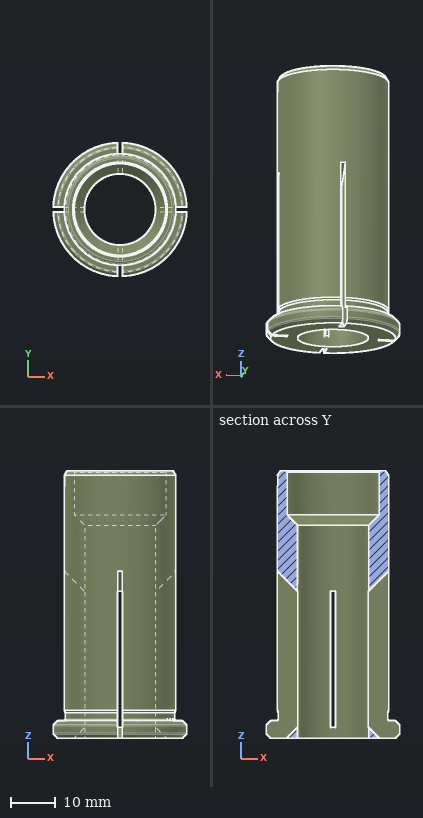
import cadquery as cq
import math

LENGTH = 60.0
TUBE_RADIUS = 25.0 / 2
BORE_RADIUS = 15.9 / 2

FLANGE_RADIUS = 15.0
FLANGE_HEIGHT = 4.0
FLANGE_CHAMFER = 1.0
EDGE_ROUND = 0.5

NECK_RADIUS = 12.3
NECK_TOP = 5.75
NECK_TAPER = 0.55
NECK_FILLET = 0.35

RIM_HEIGHT = 1.1
RIM_ANGLE = 30.0
SOCKET_RADIUS = 20.5 / 2
SOCKET_DEPTH = 9.9
SOCKET_CHAMFER = 0.35

SLOT_COUNT = 4
SLOT_WIDTH = 1.0
SLOT_TOP = 37.5
SLOT_FLOOR_AT_BORE = 2.5
CUT_MARGIN = 0.6


def revolve_profile(profile):
    """Turn a closed (radius, z) outline around the Z axis."""
    return profile.close().revolve(360, (0, 0, 0), (0, 1, 0))


def make_flange():
    disc = cq.Workplane("XY").circle(FLANGE_RADIUS).extrude(FLANGE_HEIGHT)
    disc = disc.faces("<Z or >Z").chamfer(FLANGE_CHAMFER)
    return disc.faces("not <Z").edges("%CIRCLE").edges("not <Z").fillet(EDGE_ROUND)


def make_tube():
    rim_radius = TUBE_RADIUS - RIM_HEIGHT * math.tan(math.radians(RIM_ANGLE))
    profile = (
        cq.Workplane("XZ")
        .lineTo(NECK_RADIUS, 0)
        .lineTo(NECK_RADIUS, NECK_TOP)
        .lineTo(TUBE_RADIUS, NECK_TOP + NECK_TAPER)
        .lineTo(TUBE_RADIUS, LENGTH - RIM_HEIGHT)
        .lineTo(rim_radius, LENGTH)
        .lineTo(0, LENGTH)
    )
    return revolve_profile(profile).faces(">Z").edges().fillet(EDGE_ROUND)


def make_neck_fillet():
    """Ring with a concave quarter-round between the neck and the flange."""
    outer_radius = NECK_RADIUS + NECK_FILLET
    top = FLANGE_HEIGHT + NECK_FILLET
    arc_offset = NECK_FILLET * math.sqrt(0.5)
    profile = (
        cq.Workplane("XZ")
        .moveTo(BORE_RADIUS, FLANGE_HEIGHT)
        .lineTo(outer_radius, FLANGE_HEIGHT)
        .threePointArc((outer_radius - arc_offset, top - arc_offset), (NECK_RADIUS, top))
        .lineTo(BORE_RADIUS, top)
    )
    return revolve_profile(profile)


def make_bore():
    """Through bore widening by a 45 degree cone into the socket."""
    socket_floor = LENGTH - SOCKET_DEPTH
    profile = (
        cq.Workplane("XZ")
        .lineTo(BORE_RADIUS, 0)
        .lineTo(BORE_RADIUS, socket_floor - (SOCKET_RADIUS - BORE_RADIUS))
        .lineTo(SOCKET_RADIUS, socket_floor)
        .lineTo(SOCKET_RADIUS, LENGTH - SOCKET_CHAMFER)
        .lineTo(SOCKET_RADIUS + SOCKET_CHAMFER, LENGTH)
        .lineTo(0, LENGTH)
    )
    return revolve_profile(profile)


def make_slot():
    """Radial slot toward +X whose sloped ends widen outward from the bore."""
    outer_radius = FLANGE_RADIUS + CUT_MARGIN
    return (
        cq.Workplane("XZ")
        .moveTo(0, SLOT_FLOOR_AT_BORE + BORE_RADIUS)
        .lineTo(BORE_RADIUS + SLOT_FLOOR_AT_BORE, 0)
        .lineTo(outer_radius, 0)
        .lineTo(outer_radius, SLOT_TOP + outer_radius - TUBE_RADIUS)
        .lineTo(0, SLOT_TOP - TUBE_RADIUS)
        .close()
        .extrude(SLOT_WIDTH / 2, both=True)
    )


result = make_flange().union(make_tube()).union(make_neck_fillet()).cut(make_bore())
for index in range(SLOT_COUNT):
    slot = make_slot().rotate((0, 0, 0), (0, 0, 1), index * 360 / SLOT_COUNT)
    result = result.cut(slot)